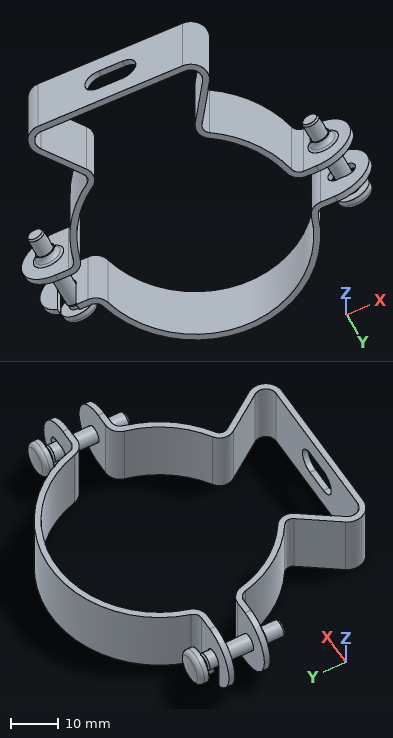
import cadquery as cq
import math

overall_width = 78.0
strap_height = 16.2
thickness = 1.5
ring_inner_radius = 25.0
ring_outer_radius = ring_inner_radius + thickness
upper_ear_level = 4.2
lower_ear_level = -3.0
ear_bend_radius = 2.0
upper_arc_angle = 45.0
lower_arc_angle = -35.0

foot_level = -39.9
foot_corner_x = 24.7
leg_angle = 35.0
foot_bend_radius = 2.5
neck_bend_radius = 1.8
foot_slot_length = 12.0
foot_slot_width = 6.4

screw_x = 32.5
shank_radius = 4.0 / 2
neck_radius = 3.6 / 2
head_radius = 4.05
head_base = 9.1
head_rim_top = 10.3
head_shoulder_radius = 3.1
head_shoulder_level = 11.5
head_top = 12.2
neck_end = 8.2
shank_start = 7.7
shank_end = -10.85
tip_chamfer_length = 0.5
tip_radius = 1.7

collar_radius = 2.3
collar_base_radius = 3.6
collar_height = 1.7
collar_lip_radius = 3.0
collar_lip_height = 0.3

clearance_radius = 2.2
clearance_hole_length = 6.5


def circle_x(radius, y):
    """X of the ring circle of the given radius at height y, on the +X side."""
    return math.sqrt(radius**2 - y**2)


def ring_point(radius, angle):
    """Point on the ring circle of the given radius, angle in degrees from +X."""
    return radius * math.cos(math.radians(angle)), radius * math.sin(math.radians(angle))


def bend(strip, x, y, radius):
    """Round the Z edge of the strip that stands at (x, y)."""
    return strip.edges(cq.selectors.NearestToPointSelector((x, y, 0))).fillet(radius)


def extrude_outline(outline):
    """Close a strap outline and give it the strap height, centred on Z = 0."""
    return outline.close().extrude(strap_height / 2, both=True)


def both_sides(half):
    """Join a +X half with its mirror image."""
    return half.union(half.mirror("YZ")).clean()


def round_ear_ends(strap):
    """Trim the strap so that the ears end in half circles."""
    envelope = (
        cq.Workplane("XZ")
        .slot2D(overall_width, strap_height)
        .extrude(2 * overall_width, both=True)
    )
    return strap.intersect(envelope)


def make_upper_strap():
    ear_top = upper_ear_level + thickness
    inner_x = circle_x(ring_inner_radius, upper_ear_level)
    outer_x = circle_x(ring_outer_radius, ear_top)
    half = extrude_outline(
        cq.Workplane("XY")
        .moveTo(0, ring_inner_radius)
        .threePointArc(ring_point(ring_inner_radius, upper_arc_angle), (inner_x, upper_ear_level))
        .lineTo(overall_width / 2, upper_ear_level)
        .lineTo(overall_width / 2, ear_top)
        .lineTo(outer_x, ear_top)
        .threePointArc(ring_point(ring_outer_radius, upper_arc_angle), (0, ring_outer_radius))
    )
    half = bend(half, inner_x, upper_ear_level, ear_bend_radius + thickness)
    half = bend(half, outer_x, ear_top, ear_bend_radius)
    strap = round_ear_ends(both_sides(half))
    return strap.cut(clearance_hole()).cut(clearance_slot())


def clearance_hole():
    """Sideways slotted hole in the +X upper ear."""
    return (
        cq.Workplane("XZ", origin=(screw_x, upper_ear_level, 0))
        .slot2D(clearance_hole_length, 2 * clearance_radius)
        .extrude(thickness * 2, both=True)
    )


def clearance_slot():
    """Round-topped slot in the -X upper ear, open at its lower edge."""
    plane = cq.Workplane("XZ", origin=(-screw_x, upper_ear_level, 0))
    top = plane.circle(clearance_radius).extrude(thickness * 2, both=True)
    channel = (
        plane.center(0, -strap_height / 2)
        .rect(2 * clearance_radius, strap_height)
        .extrude(thickness * 2, both=True)
    )
    return top.union(channel)


def ring_leg_crossing(radius, leg_foot_x, leg_foot_y):
    """Point where a leg face, starting at its foot corner, first reaches the ring circle."""
    dx = -math.sin(math.radians(leg_angle))
    dy = math.cos(math.radians(leg_angle))
    along = leg_foot_x * dx + leg_foot_y * dy
    distance = -along - math.sqrt(along**2 - leg_foot_x**2 - leg_foot_y**2 + radius**2)
    return leg_foot_x + distance * dx, leg_foot_y + distance * dy


def make_lower_strap():
    ear_bottom = lower_ear_level - thickness
    foot_top = foot_level + thickness
    inner_foot_x = foot_corner_x - thickness / math.tan(math.radians(90 - leg_angle) / 2)
    inner_x = circle_x(ring_inner_radius, lower_ear_level)
    outer_x = circle_x(ring_outer_radius, ear_bottom)
    inner_neck = ring_leg_crossing(ring_inner_radius, inner_foot_x, foot_top)
    outer_neck = ring_leg_crossing(ring_outer_radius, foot_corner_x, foot_level)
    half = extrude_outline(
        cq.Workplane("XY")
        .moveTo(0, foot_level)
        .lineTo(foot_corner_x, foot_level)
        .lineTo(*outer_neck)
        .threePointArc(ring_point(ring_outer_radius, lower_arc_angle), (outer_x, ear_bottom))
        .lineTo(overall_width / 2, ear_bottom)
        .lineTo(overall_width / 2, lower_ear_level)
        .lineTo(inner_x, lower_ear_level)
        .threePointArc(ring_point(ring_inner_radius, lower_arc_angle), inner_neck)
        .lineTo(inner_foot_x, foot_top)
        .lineTo(0, foot_top)
    )
    half = bend(half, inner_x, lower_ear_level, ear_bend_radius + thickness)
    half = bend(half, outer_x, ear_bottom, ear_bend_radius)
    half = bend(half, *inner_neck, neck_bend_radius + thickness)
    half = bend(half, *outer_neck, neck_bend_radius)
    half = bend(half, foot_corner_x, foot_level, foot_bend_radius + thickness)
    half = bend(half, inner_foot_x, foot_top, foot_bend_radius)
    foot_slot = (
        cq.Workplane("XZ", origin=(0, foot_level, 0))
        .slot2D(foot_slot_length, foot_slot_width)
        .extrude(2 * thickness, both=True)
    )
    return round_ear_ends(both_sides(half)).cut(foot_slot)


def tangent_arc_radius(rise, run):
    """Radius of an arc that drifts by rise from its starting tangent over the length run."""
    return (rise**2 + run**2) / (2 * rise)


def make_screw(x):
    """Pan-head screw along Y with its collar on the lower ear."""
    ear_bottom = lower_ear_level - thickness
    collar_root = lower_ear_level - thickness / 2
    flare_radius = tangent_arc_radius(
        collar_lip_radius - collar_radius, collar_height - collar_lip_height
    )
    shoulder_round = tangent_arc_radius(
        head_radius - head_shoulder_radius, head_shoulder_level - head_rim_top
    )
    crown_radius = tangent_arc_radius(head_top - head_shoulder_level, head_shoulder_radius)
    profile = (
        cq.Workplane("XY", origin=(x, 0, 0))
        .moveTo(0, shank_end)
        .lineTo(tip_radius, shank_end)
        .lineTo(shank_radius, shank_end + tip_chamfer_length)
        .lineTo(shank_radius, ear_bottom - collar_height)
        .lineTo(collar_radius, ear_bottom - collar_height)
        .radiusArc((collar_lip_radius, ear_bottom - collar_lip_height), flare_radius)
        .lineTo(collar_base_radius, ear_bottom)
        .lineTo(collar_base_radius, collar_root)
        .lineTo(shank_radius, collar_root)
        .lineTo(shank_radius, shank_start)
        .lineTo(neck_radius, neck_end)
        .lineTo(neck_radius, head_base)
        .lineTo(head_radius, head_base)
        .lineTo(head_radius, head_rim_top)
        .radiusArc((head_shoulder_radius, head_shoulder_level), -shoulder_round)
        .radiusArc((0, head_top), -crown_radius)
        .close()
    )
    return profile.revolve(360, (0, 0, 0), (0, 1, 0))


upper_strap = make_upper_strap()

lower_strap = make_lower_strap()
for side in (-1, 1):
    lower_strap = lower_strap.union(make_screw(side * screw_x))

result = cq.Compound.makeCompound([upper_strap.val(), lower_strap.val()])